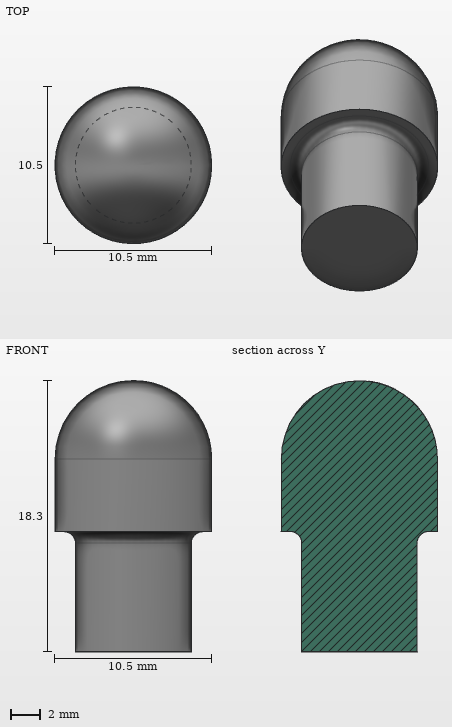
import cadquery as cq
import math

head_diameter = 10.54
shank_diameter = 7.8
total_height = 18.26
head_cylinder_height = 4.9
fillet_radius = 0.76

head_radius = head_diameter / 2
shank_radius = shank_diameter / 2
dome_base_z = total_height - head_radius
head_base_z = dome_base_z - head_cylinder_height


def half_profile():
    """Closed half section in the XZ plane: shank, concave fillet, head and hemispherical dome."""
    fillet_center_x = shank_radius + fillet_radius
    fillet_center_z = head_base_z - fillet_radius
    fillet_midpoint = (
        fillet_center_x - fillet_radius * math.cos(math.pi / 4),
        fillet_center_z + fillet_radius * math.sin(math.pi / 4),
    )
    dome_midpoint = (
        head_radius * math.cos(math.pi / 4),
        dome_base_z + head_radius * math.sin(math.pi / 4),
    )
    return (
        cq.Workplane("XZ")
        .lineTo(shank_radius, 0)
        .lineTo(shank_radius, fillet_center_z)
        .threePointArc(fillet_midpoint, (fillet_center_x, head_base_z))
        .lineTo(head_radius, head_base_z)
        .lineTo(head_radius, dome_base_z)
        .threePointArc(dome_midpoint, (0, total_height))
        .close()
    )


result = half_profile().revolve(360, (0, 0), (0, 1))